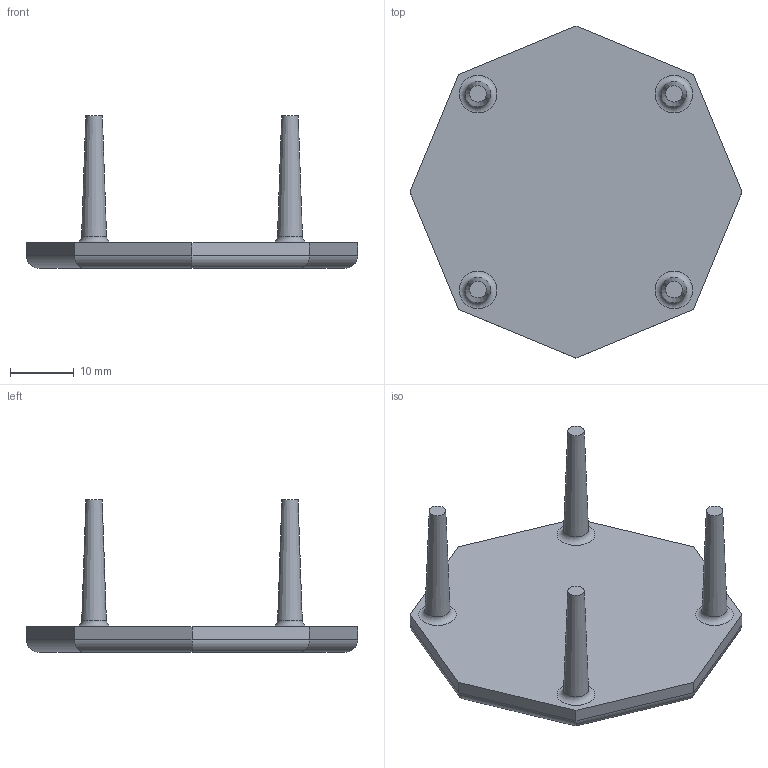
import cadquery as cq
import math

SIDE_COUNT = 8
SIDE_LENGTH = 20.0
PLATE_THICKNESS = 4.0
BOTTOM_EDGE_RADIUS = 2.0

PIN_HEIGHT = 20.0
PIN_BASE_RADIUS = 2.0
PIN_DRAFT_ANGLE = 2.0
PIN_FOOT_FILLET = 1.0
PIN_OFFSET = 15.42

corner_radius = SIDE_LENGTH / (2 * math.sin(math.pi / SIDE_COUNT))


def make_plate():
    """Octagonal plate with its bottom perimeter rounded."""
    plate = cq.Workplane("XY").polygon(SIDE_COUNT, 2 * corner_radius).extrude(PLATE_THICKNESS)
    return plate.faces("<Z").edges().fillet(BOTTOM_EDGE_RADIUS)


def make_pin():
    """Tapered pin on the Z axis, standing on the top face of the plate."""
    base_plane = cq.Workplane("XY").workplane(offset=PLATE_THICKNESS)
    return base_plane.circle(PIN_BASE_RADIUS).extrude(PIN_HEIGHT, taper=PIN_DRAFT_ANGLE)


def add_pins(body):
    """Join a pin at each corner of a square and fillet its foot."""
    pin = make_pin()
    for x_sign in (-1, 1):
        for y_sign in (-1, 1):
            body = body.union(pin.translate((x_sign * PIN_OFFSET, y_sign * PIN_OFFSET, 0)))
    top_face = body.faces(cq.selectors.NearestToPointSelector((0, 0, PLATE_THICKNESS)))
    foot_edges = top_face.edges("%CIRCLE")
    return foot_edges.fillet(PIN_FOOT_FILLET)


result = add_pins(make_plate())